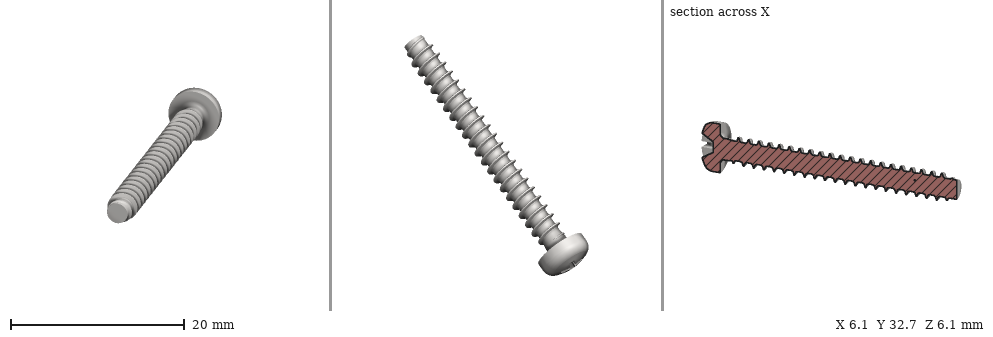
import cadquery as cq
import math

total_length = 32.65
shank_length = 30.05

head_diameter = 6.1
head_radius = head_diameter / 2
rim_height = 0.98
crown_radius = 5.55

recess_radius = 1.63
recess_bottom_radius = 0.65
recess_depth = 1.63
wing_width = 0.72

core_diameter = 2.45
core_radius = core_diameter / 2
neck_radius = 1.37
underhead_fillet = 0.5
neck_end = 0.88
core_start = 1.95

inner_corner_reach = wing_width / math.sqrt(2)
crown_sag = crown_radius - math.sqrt(crown_radius**2 - inner_corner_reach**2)
apex_height = total_length - shank_length + crown_sag

full_thread_length = 25.85
full_turns = 20
pitch = full_thread_length / full_turns
crest_diameter = 3.5
crest_radius = crest_diameter / 2
crest_width = 0.13
rib_foot_radius = 1.3
rib_foot_width = 0.42
thread_root_radius = 1.15
thread_root_width = 1.1
full_thread_start = 2.3
runout_turns = 1.5
runout_end_height = 0.1
points_per_turn = 20

thread_profile = [
    (thread_root_radius, thread_root_width / 2),
    (rib_foot_radius, rib_foot_width / 2),
    (crest_radius, crest_width / 2),
    (crest_radius, -crest_width / 2),
    (rib_foot_radius, -rib_foot_width / 2),
    (thread_root_radius, -thread_root_width / 2),
]


def make_blank():
    """Head, underhead fillet, neck and core turned as one body about Y."""
    dome_height = apex_height - rim_height
    shoulder_radius = (
        (head_radius**2 + dome_height**2 - 2 * dome_height * crown_radius)
        / (2 * (head_radius - crown_radius))
    )
    crown_center_height = apex_height - crown_radius
    shoulder_center_reach = head_radius - shoulder_radius
    blend_angle = math.atan2(rim_height - crown_center_height, shoulder_center_reach)

    def crown_point(angle):
        return (
            crown_radius * math.cos(angle),
            crown_center_height + crown_radius * math.sin(angle),
        )

    def shoulder_point(angle):
        return (
            shoulder_center_reach + shoulder_radius * math.cos(angle),
            rim_height + shoulder_radius * math.sin(angle),
        )

    fillet_mid = underhead_fillet * (1 - math.sqrt(0.5))

    return (
        cq.Workplane("XY")
        .moveTo(0, apex_height)
        .threePointArc(crown_point((math.pi / 2 + blend_angle) / 2), crown_point(blend_angle))
        .threePointArc(shoulder_point(blend_angle / 2), (head_radius, rim_height))
        .lineTo(head_radius, 0)
        .lineTo(neck_radius + underhead_fillet, 0)
        .threePointArc((neck_radius + fillet_mid, -fillet_mid), (neck_radius, -underhead_fillet))
        .lineTo(neck_radius, -neck_end)
        .lineTo(core_radius, -core_start)
        .lineTo(core_radius, -shank_length)
        .lineTo(0, -shank_length)
        .close()
        .revolve(360, (0, 0, 0), (0, 1, 0))
    )


def make_recess():
    """Cross of two wings, narrowed toward its bottom by a cone."""
    recess_bottom = apex_height - recess_depth
    cone = (
        cq.Workplane("XY")
        .polyline([
            (0, recess_bottom),
            (recess_bottom_radius, recess_bottom),
            (recess_radius, apex_height),
            (0, apex_height),
        ])
        .close()
        .revolve(360, (0, 0, 0), (0, 1, 0))
    )
    middle = (0, apex_height - recess_depth / 2, 0)
    wing_x = cq.Workplane("XY").box(2 * recess_radius, recess_depth, wing_width).translate(middle)
    wing_z = cq.Workplane("XY").box(wing_width, recess_depth, 2 * recess_radius).translate(middle)
    return wing_x.union(wing_z).intersect(cone)


def thread_height(turn):
    """Fraction of the full thread height; turn 0 is where the full thread begins."""
    turns_outside = max(-turn, turn - full_turns, 0)
    return 1 - (1 - runout_end_height) * turns_outside / runout_turns


def thread_point(turn, radius, offset):
    """Point on the right-hand helix, which crosses +Z at every whole turn."""
    angle = 2 * math.pi * turn
    local_radius = thread_root_radius + (radius - thread_root_radius) * thread_height(turn)
    return cq.Vector(
        -local_radius * math.sin(angle),
        offset - full_thread_start - pitch * turn,
        local_radius * math.cos(angle),
    )


def thread_rails(first_turn, last_turn):
    """One helical edge for each corner of the thread profile."""
    steps = round((last_turn - first_turn) * points_per_turn)
    turns = [first_turn + (last_turn - first_turn) * i / steps for i in range(steps + 1)]
    return [
        cq.Edge.makeSpline([thread_point(turn, radius, offset) for turn in turns])
        for radius, offset in thread_profile
    ]


def thread_cap(turn):
    """Flat end face of the thread."""
    corners = [thread_point(turn, radius, offset) for radius, offset in thread_profile]
    return cq.Face.makeFromWires(cq.Wire.makePolygon(corners, close=True))


def make_thread():
    """Full thread with a flattening run-out at each end, closed into one solid."""
    breaks = [-runout_turns, 0, full_turns, full_turns + runout_turns]
    faces = [thread_cap(breaks[0]), thread_cap(breaks[-1])]
    for first_turn, last_turn in zip(breaks, breaks[1:]):
        rails = thread_rails(first_turn, last_turn)
        for rail, next_rail in zip(rails, rails[1:] + rails[:1]):
            faces.append(cq.Face.makeRuledSurface(rail, next_rail))
    return cq.Workplane("XY").add(cq.Solid.makeSolid(cq.Shell.makeShell(faces)))


def make_shank_envelope():
    """Cylinder over the shank length, used to trim the thread flush with the tip."""
    return cq.Workplane("XZ").circle(head_radius).extrude(shank_length)


thread = make_thread().intersect(make_shank_envelope())
result = make_blank().cut(make_recess()).union(thread)